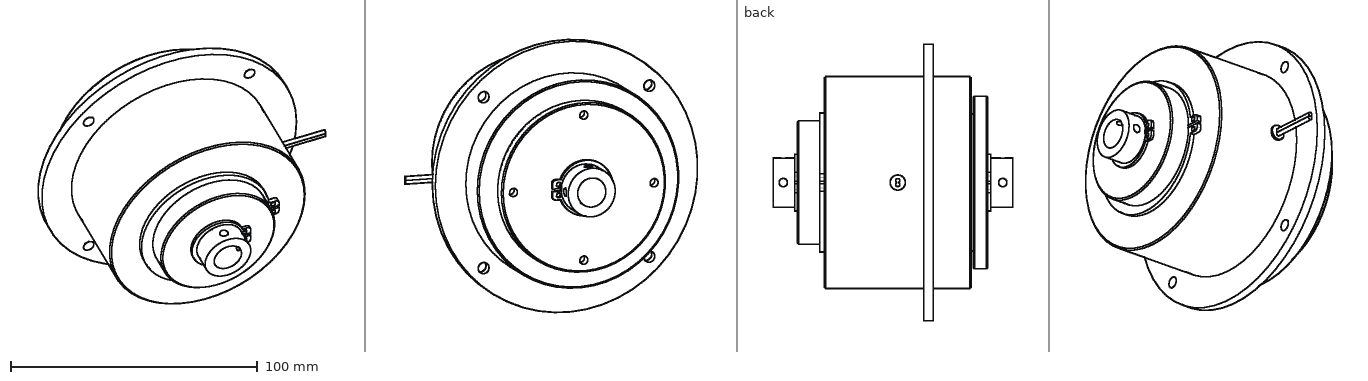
import cadquery as cq
import math

edge_chamfer = 0.6

shaft_length = 97.0
shaft_diameter = 20.0
shaft_bore = 12.0
set_screw_diameter = 3.4
set_screw_inset = 4.1

disc_start = 10.1
disc_thickness = 6.0
disc_diameter = 70.0
shoulder_diameter = 55.5
shoulder_length = 0.8
journal_diameter = 50.0
journal_end = 87.1
disc_bolt_circle = 60.0
disc_hole_diameter = 3.4
disc_hole_depth = 4.2
drill_point_angle = 118
bolt_count = 4

housing_start = disc_start + disc_thickness + shoulder_length
housing_length = 59.3
housing_end = housing_start + housing_length
housing_diameter = 85.9
flange_start = 32.2
flange_thickness = 4.0
flange_diameter = 112.0
flange_bolt_circle = 100.0
flange_hole_diameter = 4.5

outlet_x = 46.5
grommet_diameter = 6.1
grommet_height = 0.8
lead_diameter = 1.7
lead_spacing = 1.5
overall_width = 120.0
lead_end = overall_width - flange_diameter / 2

shaft_ring = {
    "thickness": 1.2,
    "seat_diameter": 19.0,
    "outer_diameter": 23.0,
    "offset": 0.6,
    "lug_reach": 13.7,
    "lug_width": 8.4,
}
journal_ring = {
    "thickness": 1.9,
    "seat_diameter": 47.0,
    "outer_diameter": 56.4,
    "offset": 1.8,
    "lug_reach": 30.5,
    "lug_width": 7.2,
}
lug_gap = 1.1
lug_corner_radius = 1.5
lug_hole_diameter = 1.9
lug_hole_spacing = 4.5
lug_hole_inset = 2.6

left_ring_x = disc_start - shaft_ring["thickness"]
right_ring_x = journal_end
journal_ring_x = housing_end


def cylinder(start, length, diameter):
    """Cylinder on the X axis, beginning at X = start."""
    return cq.Workplane("YZ").workplane(offset=start).circle(diameter / 2).extrude(length)


def ring_groove(start, ring, body_diameter):
    """Ring of material to remove so that a retaining ring can sit in a round body."""
    blank = cylinder(start, ring["thickness"], body_diameter)
    return blank.cut(cylinder(start, ring["thickness"], ring["seat_diameter"]))


def bolt_points(bolt_circle, first_angle):
    """Evenly spaced (Y, Z) points on a bolt circle."""
    radius = bolt_circle / 2
    angles = [math.radians(first_angle + 360 / bolt_count * i) for i in range(bolt_count)]
    return [(radius * math.cos(a), radius * math.sin(a)) for a in angles]


def make_shaft():
    """Through-bored shaft with two set-screw holes at each end, facing +Y and +Z."""
    shaft = cylinder(0, shaft_length, shaft_diameter)
    shaft = shaft.cut(cylinder(0, shaft_length, shaft_bore))
    for ring_x in (left_ring_x, right_ring_x):
        shaft = shaft.cut(ring_groove(ring_x, shaft_ring, shaft_diameter))
    for x in (set_screw_inset, shaft_length - set_screw_inset):
        for direction in (cq.Vector(0, 1, 0), cq.Vector(0, 0, 1)):
            hole = cq.Solid.makeCylinder(
                set_screw_diameter / 2, shaft_diameter, cq.Vector(x, 0, 0), direction
            )
            shaft = shaft.cut(cq.Workplane(hole))
    return shaft


def disc_hole(y, z):
    """Blind drilled hole with a conical bottom, entering the disc's left face."""
    radius = disc_hole_diameter / 2
    tip_depth = disc_hole_depth + radius / math.tan(math.radians(drill_point_angle / 2))
    profile = [(0, 0), (0, radius), (disc_hole_depth, radius), (tip_depth, 0)]
    hole = cq.Workplane("XY").polyline(profile).close().revolve(360, (0, 0), (1, 0))
    return hole.translate((disc_start, y, z))


def make_rotor():
    """Disc, shoulder and journal in one piece, bored for the shaft."""
    shoulder_start = disc_start + disc_thickness
    disc = cylinder(disc_start, disc_thickness, disc_diameter).edges().chamfer(edge_chamfer)
    shoulder = cylinder(shoulder_start, shoulder_length, shoulder_diameter)
    journal = cylinder(housing_start, journal_end - housing_start, journal_diameter)
    journal = journal.faces(">X").edges().chamfer(edge_chamfer)
    rotor = disc.union(shoulder).union(journal)
    rotor = rotor.cut(cylinder(0, shaft_length, shaft_diameter))
    rotor = rotor.cut(ring_groove(journal_ring_x, journal_ring, journal_diameter))
    for y, z in bolt_points(disc_bolt_circle, 0):
        rotor = rotor.cut(disc_hole(y, z))
    return rotor


def make_cable_outlet():
    """Grommet and two parallel leads, pointing along +Y and rooted inside the housing wall."""
    root_y = (housing_diameter + journal_diameter) / 4
    grommet_top = housing_diameter / 2 + grommet_height
    root = cq.Workplane("XZ", origin=(outlet_x, root_y, 0))
    outlet = root.circle(grommet_diameter / 2).extrude(root_y - grommet_top)
    leads = root.pushPoints([(0, lead_spacing / 2), (0, -lead_spacing / 2)])
    return outlet.union(leads.circle(lead_diameter / 2).extrude(root_y - lead_end))


def make_housing():
    """Drum with a drilled mounting flange and the cable outlet, bored for the journal."""
    drum = cylinder(housing_start, housing_length, housing_diameter).edges().chamfer(edge_chamfer)
    flange = cylinder(flange_start, flange_thickness, flange_diameter)
    flange_holes = (
        cq.Workplane("YZ")
        .workplane(offset=flange_start)
        .pushPoints(bolt_points(flange_bolt_circle, 45))
        .circle(flange_hole_diameter / 2)
        .extrude(flange_thickness)
    )
    housing = drum.union(flange.cut(flange_holes)).union(make_cable_outlet())
    return housing.cut(cylinder(housing_start, housing_length, journal_diameter))


def make_retaining_ring(start, ring):
    """Open external retaining ring with two drilled lugs on its +Y side."""
    thickness = ring["thickness"]
    reach = ring["lug_reach"]
    plane = cq.Workplane("YZ").workplane(offset=start)
    body = plane.center(-ring["offset"], 0).circle(ring["outer_diameter"] / 2).extrude(thickness)
    lugs = plane.center(reach / 2, 0).rect(reach, ring["lug_width"]).extrude(thickness)
    lugs = lugs.edges("|X and >Y").fillet(lug_corner_radius)
    gap = plane.center(reach / 2, 0).rect(reach, lug_gap).extrude(thickness)
    hole_y = reach - lug_hole_inset
    hole_points = [(hole_y, lug_hole_spacing / 2), (hole_y, -lug_hole_spacing / 2)]
    holes = plane.pushPoints(hole_points).circle(lug_hole_diameter / 2).extrude(thickness)
    seat = cylinder(start, thickness, ring["seat_diameter"])
    return body.union(lugs).cut(seat).cut(gap).cut(holes)


shaft = make_shaft()
rotor = make_rotor()
housing = make_housing()
ring_places = [
    (left_ring_x, shaft_ring),
    (right_ring_x, shaft_ring),
    (journal_ring_x, journal_ring),
]
retaining_rings = [make_retaining_ring(x, ring) for x, ring in ring_places]

result = cq.Compound.makeCompound(
    [shaft.val(), rotor.val(), housing.val(), *[ring.val() for ring in retaining_rings]]
)